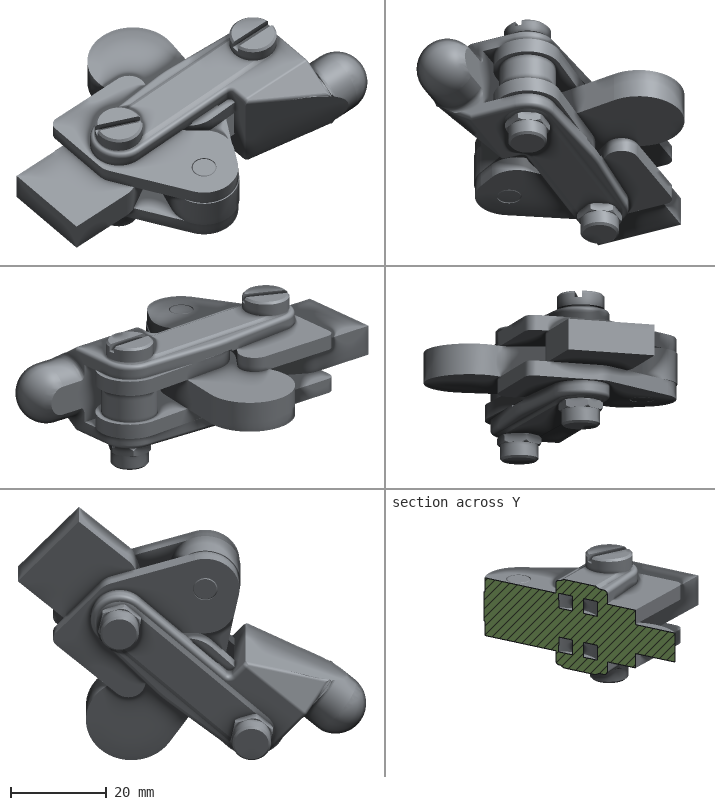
import cadquery as cq
import math


CORE_HALF = 3.3
PLATE_TOP = 6.5
GRIP_TOP = 9.45
RIB_HEIGHT = 0.45

LOWER_SCREW = (0, 0)
UPPER_SCREW = (-0.8, 37.9)
LINK_PIVOT = (0.15, 19.1)
PIN = (16.6, 9.15)

LOBE = (-10.5, 12.0)
LOBE_RADIUS = 3.6
LINK_CLEARANCE = 8.5
HUMP = (13.6, 11.75)
HUMP_RADIUS = 6.5
PIN_END_RADIUS = 7.2
PLATE_BOTTOM = -7.1
HEEL_X, HEEL_RADIUS = 1.9, 4.8
CORNER_RADIUS = 2.0
PIN_RADIUS = 2.6
PIN_GROOVE = 0.2

LINK_RADIUS = 7.2
SPACER_RADIUS = 5.95

TIP = (-18.0, 19.6)
TIP_RADIUS = 9.5
LEVER_MID_RADIUS = 7.5
LEVER_PIN_RADIUS = 7.4
NECK_RADIUS = 4.8
NECK_ANGLE = -71.5

BAR_HALF_WIDTH = 9.5
BAR_END_Y = -20.05
BAR_EYE_RADIUS = 6.0
SHOULDER_RADIUS = 5.2
SHOULDER_Y = -6.0

ARM_RADIUS = 6.0
BULGE_RADIUS = 26.7
BULGE_X = -7.6
FLARE_BOTTOM_Y = 26.2
FLARE_INNER_X = 5.4
FLARE_INNER_RADIUS = 0.9
FLARE_CORNER_X = 10.4
FLARE_TOP_X = 17.3
FLARE_TOP_Y = UPPER_SCREW[1] + ARM_RADIUS
WEB_X = 6.7
SLOPE_X = 9.85
SLOPE_ANGLE = 33.7
GRIP_FILLET = 0.9
RELIEF_LENGTH, RELIEF_DEPTH, RELIEF_CHAMFER = 7.5, 0.45, 0.3
RIB_BASE_RADIUS, RIB_TOP_RADIUS = 4.8, 3.9

KNOB_X = 12.3
KNOB_RADIUS = 6.4
KNOB_CENTRE_Y = 49.8
ROOT_FILLET = 0.9

HEAD_RADIUS = 4.95
HEAD_BOTTOM = GRIP_TOP + RIB_HEIGHT
HEAD_TOP = 13
HEAD_CHAMFER = 0.45
DRIVE_WIDTH, DRIVE_DEPTH = 1.6, 1.45
UPPER_DRIVE_ANGLE, LOWER_DRIVE_ANGLE = 90, 65
NUT_CORNERS = 9.45
NUT_BOTTOM = -11.75
NUT_CHAMFER = 0.4
BOLT_RADIUS = 4.05
BOLT_END = -15.0
BOLT_CHAMFER = 0.45

TOUCHING = 0.001


def polar(centre, radius, angle):
    return (centre[0] + radius * math.cos(angle), centre[1] + radius * math.sin(angle))


def belt(circles, bottom):
    """Closed outline run clockwise round circles (centre, radius), joined by tangent lines.

    A negative radius makes the outline pass the circle on its other side, as a hollow;
    radius 0 is a sharp corner.
    """
    normals = []
    for i, (start, start_radius) in enumerate(circles):
        end, end_radius = circles[(i + 1) % len(circles)]
        dx, dy = end[0] - start[0], end[1] - start[1]
        lean = math.acos(min(1, (start_radius - end_radius) / math.hypot(dx, dy)))
        normals.append(math.atan2(dy, dx) + lean)

    outline = None
    last_point = None
    for i, (centre, radius) in enumerate(circles):
        arrive, leave = normals[i - 1], normals[i]
        entry = polar(centre, radius, arrive)
        if outline is None:
            outline = cq.Workplane("XY").workplane(offset=bottom).moveTo(*entry)
        elif math.dist(entry, last_point) > TOUCHING:
            outline = outline.lineTo(*entry)
        if radius > 0:
            sweep = -((arrive - leave) % (2 * math.pi))
        else:
            sweep = (leave - arrive) % (2 * math.pi)
        if radius != 0:
            middle = polar(centre, radius, arrive + sweep / 2)
            outline = outline.threePointArc(middle, polar(centre, radius, leave))
        last_point = polar(centre, radius, leave)
    return outline.close()


def cylinder(centre, radius, bottom, top):
    return cq.Workplane("XY").workplane(offset=bottom).center(*centre).circle(radius).extrude(top - bottom)


def both_sides(solid):
    return solid.union(solid.mirror("XY"))


def base_plate():
    outline = [
        (LOBE, LOBE_RADIUS),
        (LINK_PIVOT, -LINK_CLEARANCE),
        (HUMP, HUMP_RADIUS),
        (PIN, PIN_END_RADIUS),
        ((HEEL_X, PLATE_BOTTOM + HEEL_RADIUS), HEEL_RADIUS),
        ((LOBE[0] - LOBE_RADIUS + CORNER_RADIUS, PLATE_BOTTOM + CORNER_RADIUS), CORNER_RADIUS),
    ]
    plate = belt(outline, CORE_HALF).extrude(PLATE_TOP - CORE_HALF)
    groove = (
        cq.Workplane("XZ")
        .polyline([
            (PIN_RADIUS - PIN_GROOVE, PLATE_TOP),
            (PIN_RADIUS, PLATE_TOP - PIN_GROOVE),
            (PIN_RADIUS, PLATE_TOP),
        ])
        .close()
        .revolve(360, (0, 0), (0, 1))
        .translate((*PIN, 0))
    )
    return plate.cut(groove)


def link():
    outline = [(LINK_PIVOT, LINK_RADIUS), (UPPER_SCREW, LINK_RADIUS)]
    return belt(outline, CORE_HALF).extrude(PLATE_TOP - CORE_HALF)


def lever():
    neck = polar(TIP, TIP_RADIUS + NECK_RADIUS, math.radians(NECK_ANGLE))
    outline = [
        (TIP, TIP_RADIUS),
        (LINK_PIVOT, LEVER_MID_RADIUS),
        (PIN, LEVER_PIN_RADIUS),
        (neck, -NECK_RADIUS),
    ]
    return belt(outline, -CORE_HALF).extrude(2 * CORE_HALF)


def clamping_bar():
    shoulder_x = BAR_HALF_WIDTH - SHOULDER_RADIUS
    outline = [
        (LOWER_SCREW, BAR_EYE_RADIUS),
        ((shoulder_x, SHOULDER_Y), SHOULDER_RADIUS),
        ((BAR_HALF_WIDTH, BAR_END_Y), 0),
        ((-BAR_HALF_WIDTH, BAR_END_Y), 0),
        ((-shoulder_x, SHOULDER_Y), SHOULDER_RADIUS),
    ]
    return belt(outline, -CORE_HALF).extrude(2 * CORE_HALF)


def rib():
    """Raised band between the two screws, with sloping sides."""
    outline = [(LOWER_SCREW, RIB_BASE_RADIUS), (UPPER_SCREW, RIB_BASE_RADIUS)]
    taper = math.degrees(math.atan2(RIB_BASE_RADIUS - RIB_TOP_RADIUS, RIB_HEIGHT))
    return belt(outline, GRIP_TOP).extrude(RIB_HEIGHT, taper=taper)


def relief():
    """Shallow hollow across the inner face of an arm, over the link pivot."""
    return (
        cq.Workplane("YZ")
        .center(LINK_PIVOT[1], PLATE_TOP)
        .rect(RELIEF_LENGTH, 2 * RELIEF_DEPTH)
        .extrude(FLARE_TOP_X, both=True)
        .edges("|X")
        .chamfer(RELIEF_CHAMFER)
    )


def slope_cutter():
    """Wedge that slopes the outer side of the grip down from its upper face."""
    reach = 2 * (FLARE_TOP_X - SLOPE_X)
    drop = reach * math.tan(math.radians(SLOPE_ANGLE))
    return (
        cq.Workplane("XZ")
        .polyline([
            (SLOPE_X, GRIP_TOP),
            (SLOPE_X + reach, GRIP_TOP - drop),
            (SLOPE_X + reach, GRIP_TOP),
        ])
        .close()
        .extrude(-2 * FLARE_TOP_Y)
    )


def arms():
    outline = [
        (LOWER_SCREW, ARM_RADIUS),
        ((BULGE_X + BULGE_RADIUS, LINK_PIVOT[1]), BULGE_RADIUS),
        (UPPER_SCREW, ARM_RADIUS),
        ((FLARE_TOP_X, FLARE_TOP_Y), 0),
        ((FLARE_CORNER_X, FLARE_BOTTOM_Y), 0),
        ((FLARE_INNER_X + FLARE_INNER_RADIUS, FLARE_BOTTOM_Y - FLARE_INNER_RADIUS), -FLARE_INNER_RADIUS),
    ]
    half = belt(outline, 0).extrude(GRIP_TOP).cut(slope_cutter())
    slope = math.radians(SLOPE_ANGLE)
    sloping_face = cq.selectors.ParallelDirSelector(cq.Vector(math.sin(slope), 0, math.cos(slope)))
    half = half.faces(">Z").add(half.faces(sloping_face)).edges().fillet(GRIP_FILLET)
    reach = 2 * FLARE_TOP_Y
    left = cq.Workplane("XY").center(WEB_X - reach / 2, 0).rect(reach, 2 * reach).extrude(PLATE_TOP)
    lower = cq.Workplane("XY").center(0, FLARE_BOTTOM_Y - reach / 2).rect(reach, reach).extrude(PLATE_TOP)
    opening = left.union(lower)
    return both_sides(half.cut(opening).cut(relief()).union(rib()))


def knob():
    ball = cq.Workplane("XY").sphere(KNOB_RADIUS).translate((KNOB_X, KNOB_CENTRE_Y, 0))
    neck = (
        cq.Workplane("XZ", origin=(KNOB_X, KNOB_CENTRE_Y, 0))
        .circle(KNOB_RADIUS)
        .extrude(KNOB_CENTRE_Y - FLARE_BOTTOM_Y)
    )
    root = (
        cq.Workplane("XY")
        .moveTo(0, FLARE_TOP_Y)
        .lineTo(KNOB_RADIUS + ROOT_FILLET, FLARE_TOP_Y)
        .radiusArc((KNOB_RADIUS, FLARE_TOP_Y + ROOT_FILLET), ROOT_FILLET)
        .lineTo(0, FLARE_TOP_Y + ROOT_FILLET)
        .close()
        .revolve(360, (0, 0), (0, 1))
        .translate((KNOB_X, 0, 0))
        .cut(both_sides(slope_cutter()))
    )
    rise = (FLARE_TOP_Y - FLARE_BOTTOM_Y) / (FLARE_TOP_X - FLARE_CORNER_X)
    far_y = KNOB_CENTRE_Y + 2 * KNOB_RADIUS
    keep = (
        cq.Workplane("XY")
        .workplane(offset=-GRIP_TOP)
        .polyline([
            (WEB_X, FLARE_BOTTOM_Y),
            (FLARE_CORNER_X, FLARE_BOTTOM_Y),
            (FLARE_CORNER_X + (far_y - FLARE_BOTTOM_Y) / rise, far_y),
            (WEB_X, far_y),
        ])
        .close()
        .extrude(2 * GRIP_TOP)
    )
    return ball.union(neck).union(root).intersect(keep)


def screw(centre, drive_angle):
    """Slotted screw along Z with its nut and bolt end underneath."""
    nut_top = -HEAD_BOTTOM
    head = cylinder((0, 0), HEAD_RADIUS, HEAD_BOTTOM, HEAD_TOP).faces(">Z").edges().chamfer(HEAD_CHAMFER)
    drive = (
        cq.Workplane("XY")
        .workplane(offset=HEAD_TOP - DRIVE_DEPTH)
        .rect(2 * HEAD_RADIUS, DRIVE_WIDTH)
        .extrude(DRIVE_DEPTH)
        .rotate((0, 0, 0), (0, 0, 1), drive_angle)
    )
    nut = (
        cq.Workplane("XY")
        .workplane(offset=NUT_BOTTOM)
        .polygon(6, NUT_CORNERS)
        .extrude(nut_top - NUT_BOTTOM)
        .rotate((0, 0, 0), (0, 0, 1), 90)
    )
    blank = cylinder((0, 0), NUT_CORNERS / 2, NUT_BOTTOM, nut_top).edges().chamfer(NUT_CHAMFER)
    bolt = cylinder((0, 0), BOLT_RADIUS, BOLT_END, HEAD_BOTTOM).faces("<Z").edges().chamfer(BOLT_CHAMFER)
    return bolt.union(head.cut(drive)).union(nut.intersect(blank)).translate((*centre, 0))


result = both_sides(base_plate().union(link()))
result = result.union(lever()).union(clamping_bar())
result = result.union(cylinder(UPPER_SCREW, SPACER_RADIUS, -CORE_HALF, CORE_HALF))
result = result.union(arms()).union(knob())
result = result.union(screw(UPPER_SCREW, UPPER_DRIVE_ANGLE)).union(screw(LOWER_SCREW, LOWER_DRIVE_ANGLE))